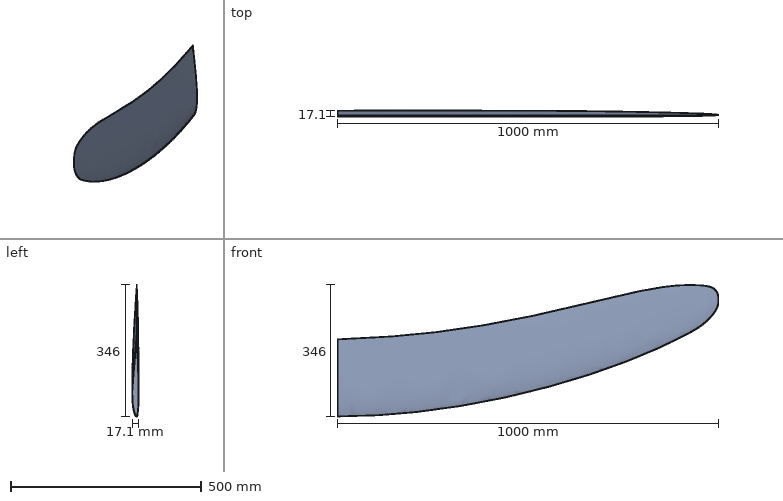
import cadquery as cq

BACK_BULGE = 12.0
FRONT_BULGE = 5.0

PROFILE = [(0.005, 0.19), (0.025, 0.42), (0.08, 0.71), (0.25, 1.0), (0.5, 0.82), (0.75, 0.45)]

BODY_STATIONS = [
    (0, 0, 203.0, 1.0, 1.0),
    (160, 7.0, 212.0, 1.0, 1.0),
    (320, 27.0, 230.0, 1.0, 1.0),
    (480, 59.0, 258.0, 0.98, 1.0),
    (640, 103.0, 294.0, 0.89, 0.95),
    (800, 161.0, 331.0, 0.69, 0.85),
    (925.0, 220.0, 346.0, 0.44, 0.65),
]
TIP_STATIONS = BODY_STATIONS[-1:] + [
    (950, 235.0, 345.0, 0.37, 0.55),
    (970, 251.0, 343.0, 0.29, 0.45),
    (985.0, 267.0, 338.0, 0.2, 0.33),
    (995.0, 282.0, 329.0, 0.12, 0.2),
    (1000, 297.0, 315.0, 0.05, 0.08),
]


def section_wire(span, leading_z, trailing_z, back_scale, front_scale):
    """Closed airfoil made of a front and a back curve meeting at a round nose."""
    chord = trailing_z - leading_z

    def side(bulge):
        return [cq.Vector(span, bulge * height, leading_z + chord * along) for along, height in PROFILE]

    trailing_edge = cq.Vector(span, 0, trailing_z)
    leading_edge = cq.Vector(span, 0, leading_z)
    back = side(BACK_BULGE * back_scale)
    front = side(-FRONT_BULGE * front_scale)
    front_edge = cq.Edge.makeSpline([trailing_edge] + front[::-1] + [leading_edge])
    back_edge = cq.Edge.makeSpline([leading_edge] + back + [trailing_edge])
    return cq.Wire.assembleEdges([front_edge, back_edge])


def loft_sections(stations):
    return cq.Solid.makeLoft([section_wire(*station) for station in stations])


blade_body = loft_sections(BODY_STATIONS)
blade_tip = loft_sections(TIP_STATIONS)
result = cq.Workplane(blade_body).union(cq.Workplane(blade_tip))